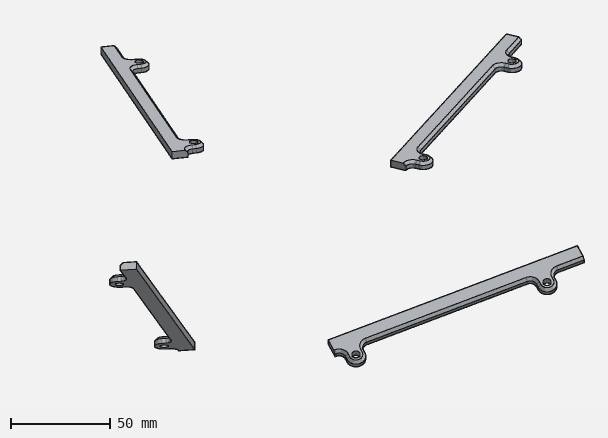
import cadquery as cq
import math

length = 137.8
total_depth = 18.7
thickness = 4.0
bar_depth = 8.4

lug_radius = 5.0
root_radius = 3.5
hole_diameter = 4.1
lug_positions = (23.0, 128.7)
lug_center_y = total_depth - lug_radius

bevel = 1.5


def build_lug(center_x):
    """Round-ended lug whose sides flare into the bar through concave arcs."""
    root_center_y = bar_depth + root_radius
    arc_reach = root_radius * math.sqrt(0.5)
    root_offset = lug_radius + root_radius
    left_root = center_x - root_offset
    right_root = center_x + root_offset
    return (
        cq.Workplane("XY")
        .moveTo(left_root, 0)
        .lineTo(left_root, bar_depth)
        .threePointArc(
            (left_root + arc_reach, root_center_y - arc_reach),
            (center_x - lug_radius, root_center_y),
        )
        .lineTo(center_x - lug_radius, lug_center_y)
        .threePointArc((center_x, total_depth), (center_x + lug_radius, lug_center_y))
        .lineTo(center_x + lug_radius, root_center_y)
        .threePointArc(
            (right_root - arc_reach, root_center_y - arc_reach),
            (right_root, bar_depth),
        )
        .lineTo(right_root, 0)
        .close()
        .extrude(thickness)
    )


body = cq.Workplane("XY").box(length, bar_depth, thickness, centered=False)
for lug_x in lug_positions:
    body = body.union(build_lug(lug_x))
body = body.clean()

back_edge_zone = cq.selectors.BoxSelector(
    (0, bar_depth / 2 + bevel, thickness / 2),
    (length, total_depth, thickness * 2),
)
body = body.faces(">Z").edges(back_edge_zone).edges("not(<X or >X)").chamfer(bevel)

holes = (
    cq.Workplane("XY")
    .pushPoints([(lug_x, lug_center_y) for lug_x in lug_positions])
    .circle(hole_diameter / 2)
    .extrude(thickness)
)
result = body.cut(holes)